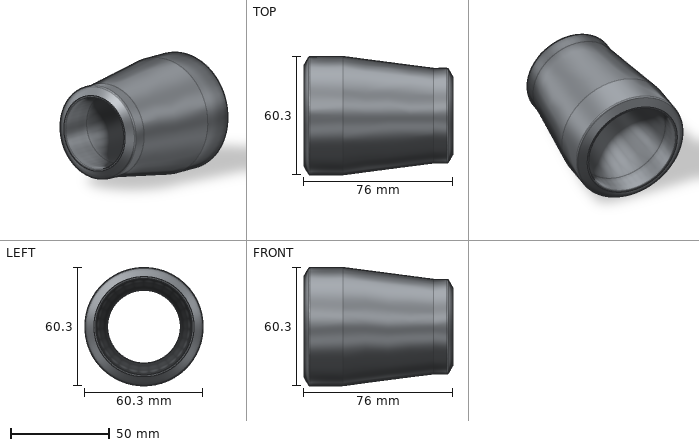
import cadquery as cq
import math

length = 76.0
wall = 5.6
large_radius = 60.3 / 2
small_radius = 48.3 / 2
large_bore_radius = large_radius - wall
small_bore_radius = small_radius - wall

large_straight = 20.0
small_straight = 10.0
cone_end = length - small_straight

bore_cone_setback = 8.0
bore_cone_start = large_straight - bore_cone_setback
bore_cone_end = cone_end - bore_cone_setback

root_face = 1.0
bevel_angle = 30.0
bevel_length = (wall - root_face) * math.tan(math.radians(bevel_angle))

bevel_round = 1.0
bore_round = 0.3

pick_tolerance = 0.01


def make_body():
    """Revolve the half section of the wall about the X axis."""
    section = (
        cq.Workplane("XZ")
        .moveTo(0, large_bore_radius)
        .lineTo(0, large_bore_radius + root_face)
        .lineTo(bevel_length, large_radius)
        .lineTo(large_straight, large_radius)
        .lineTo(cone_end, small_radius)
        .lineTo(length - bevel_length, small_radius)
        .lineTo(length, small_bore_radius + root_face)
        .lineTo(length, small_bore_radius)
        .lineTo(bore_cone_end, small_bore_radius)
        .lineTo(bore_cone_start, large_bore_radius)
        .close()
    )
    return section.revolve(360, (0, 0, 0), (1, 0, 0))


def round_bevel_edge(body, x):
    """Round the outer circle at x, where a bevel meets the cylinder."""
    around_center = cq.selectors.BoxSelector(
        (x - pick_tolerance, -pick_tolerance, -pick_tolerance),
        (x + pick_tolerance, pick_tolerance, pick_tolerance),
    )
    return body.edges(around_center).fillet(bevel_round)


def round_bore_mouth(body, end_face):
    """Round the bore edge, the smaller of the two circles on a root face."""
    smallest_circle = cq.selectors.RadiusNthSelector(0)
    return body.faces(end_face).edges(smallest_circle).fillet(bore_round)


result = make_body()
for bevel_x in (bevel_length, length - bevel_length):
    result = round_bevel_edge(result, bevel_x)
for end_face in ("<X", ">X"):
    result = round_bore_mouth(result, end_face)